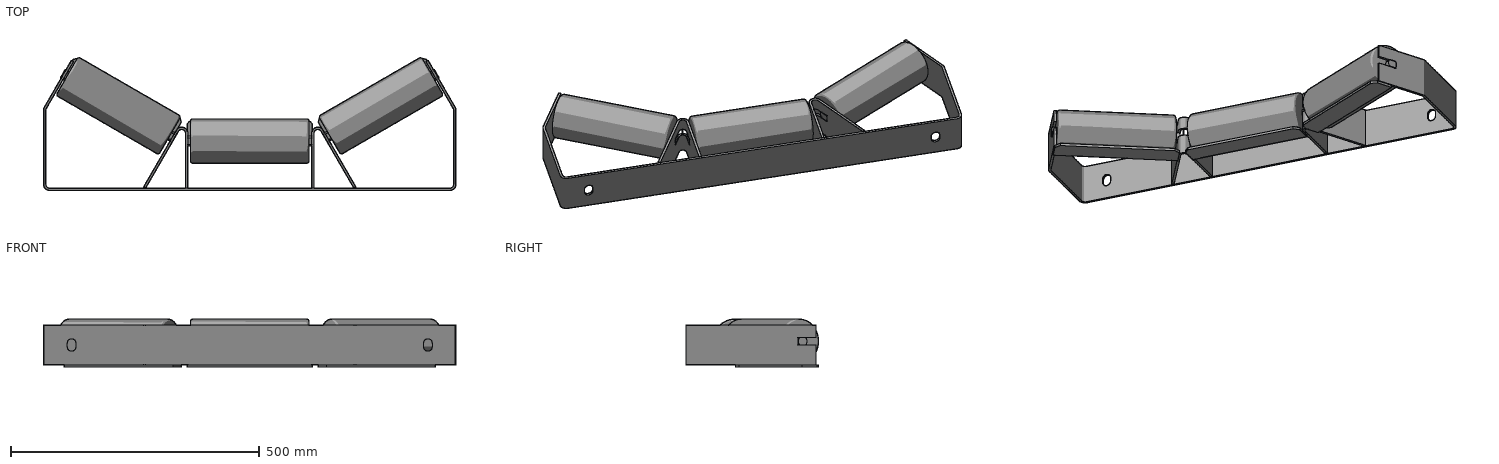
import cadquery as cq
import math

SHEET = 5.0
BEND = 12.5
STRIP_HEIGHT = 80.0
TILT = 30.0

FRAME_LENGTH = 830.0
FOLD_Y = 165.0
WING_LENGTH = 112.0
FOLD_BEND = 10.0
MOUNT_HOLE_X = 358.5
MOUNT_HOLE_WIDTH = 17.5
MOUNT_HOLE_HEIGHT = 25.0

BRACKET_X = 124.5
BRACKET_BEND_Y = 115.0

ROLLER_RADIUS = 45.0
ROLLER_LENGTH = 239.0
ROLLER_ROUNDING = 5.0
AXIS_Y = 100.0
AXIS_Z = 47.0
SIDE_ROLLER_OFFSET = 125.0
SHAFT_RADIUS = 10.0
SHAFT_FLATS = 15.0

GUARD_LENGTH = 252.0
GUARD_WIDTH = 45.0
GUARD_THICKNESS = 5.0
GUARD_CHAMFER = 10.0

SINE = math.sin(math.radians(TILT))
COSINE = math.cos(math.radians(TILT))
HALF_LENGTH = FRAME_LENGTH / 2
BEND_INNER = BEND - SHEET
BEND_X = BRACKET_X + BEND
SHAFT_LENGTH = 2 * (BRACKET_X + SHEET)

AXIS_DROP = BRACKET_BEND_Y - AXIS_Y
SIDE_X = BEND_X + (BEND + SIDE_ROLLER_OFFSET) * COSINE + AXIS_DROP * SINE
SIDE_Y = BRACKET_BEND_Y + (BEND + SIDE_ROLLER_OFFSET) * SINE - AXIS_DROP * COSINE

STATIONS = [(-SIDE_X, SIDE_Y, -TILT), (0, AXIS_Y, 0), (SIDE_X, SIDE_Y, TILT)]


def at_station(body, station):
    """Move a body built about the origin to a roller station."""
    x, y, angle = station
    return body.rotate((0, 0, 0), (0, 0, 1), angle).translate((x, y, 0))


def shaft_slots():
    """Flat-bottomed slots that let each shaft drop into the sheets at its ends."""
    depth = 2 * ROLLER_RADIUS
    slot = (
        cq.Workplane("XY")
        .box(SHAFT_LENGTH + 2 * SHEET, depth, SHAFT_FLATS)
        .translate((0, depth / 2 - SHAFT_RADIUS, AXIS_Z))
    )
    return [at_station(slot, station) for station in STATIONS]


def cut_shaft_slots(body):
    for slot in shaft_slots():
        body = body.cut(slot)
    return body


def frame_profile(inset):
    """Points of the folded strip from tip to tip, `inset` inside its outer faces."""
    side = HALF_LENGTH - inset
    fold_y = FOLD_Y - inset * math.tan(math.radians(TILT / 2))
    tip_x = HALF_LENGTH - WING_LENGTH * SINE - inset * COSINE
    tip_y = FOLD_Y + WING_LENGTH * COSINE - inset * SINE
    right_half = [(side, inset), (side, fold_y), (tip_x, tip_y)]
    left_half = [(-x, y) for x, y in reversed(right_half)]
    return left_half + right_half


def round_bend(body, point, radius):
    """Round the upright edge that passes through a profile point."""
    x, y = point
    edge = cq.selectors.NearestToPointSelector((x, y, STRIP_HEIGHT / 2))
    return body.edges("|Z").edges(edge).fillet(radius)


def make_frame():
    """One strip bent into a base, two side walls and two inward wings."""
    outer = frame_profile(0)
    inner = frame_profile(SHEET)
    body = cq.Workplane("XY").polyline(outer + inner[::-1]).close().extrude(STRIP_HEIGHT)
    for profile, inset in ((outer, 0), (inner, SHEET)):
        left_fold, left_corner, right_corner, right_fold = profile[1:-1]
        for corner in (left_corner, right_corner):
            body = round_bend(body, corner, BEND - inset)
        for fold in (left_fold, right_fold):
            body = round_bend(body, fold, FOLD_BEND - inset)
    mount_holes = (
        cq.Workplane("XZ")
        .pushPoints([(-MOUNT_HOLE_X, STRIP_HEIGHT / 2), (MOUNT_HOLE_X, STRIP_HEIGHT / 2)])
        .slot2D(MOUNT_HOLE_HEIGHT, MOUNT_HOLE_WIDTH, 90)
        .extrude(-SHEET)
    )
    return cut_shaft_slots(body.cut(mount_holes))


def make_right_bracket():
    """Folded strip with an upright leg and a leg leaning out by the roller tilt."""
    def around_bend(radius, angle):
        turn = math.radians(angle)
        return BEND_X + radius * math.cos(turn), BRACKET_BEND_Y + radius * math.sin(turn)

    tilted_normal = TILT
    middle = (tilted_normal + 180) / 2
    outer_end = around_bend(BEND, tilted_normal)
    inner_end = around_bend(BEND_INNER, tilted_normal)
    leg_length = (inner_end[1] - SHEET) / COSINE

    def down_leg(point):
        return point[0] + leg_length * SINE, point[1] - leg_length * COSINE

    body = (
        cq.Workplane("XY")
        .moveTo(BRACKET_X, SHEET)
        .lineTo(BRACKET_X, BRACKET_BEND_Y)
        .threePointArc(around_bend(BEND, middle), outer_end)
        .lineTo(*down_leg(outer_end))
        .lineTo(*down_leg(inner_end))
        .lineTo(*inner_end)
        .threePointArc(around_bend(BEND_INNER, middle), (BRACKET_X + SHEET, BRACKET_BEND_Y))
        .lineTo(BRACKET_X + SHEET, SHEET)
        .close()
        .extrude(STRIP_HEIGHT)
    )
    return cut_shaft_slots(body)


def make_roller(station):
    """Roller with rounded rims and a shaft whose ends fit the slots."""
    barrel = (
        cq.Workplane("YZ", origin=(-ROLLER_LENGTH / 2, 0, 0))
        .circle(ROLLER_RADIUS)
        .extrude(ROLLER_LENGTH)
        .faces("<X or >X")
        .edges()
        .fillet(ROLLER_ROUNDING)
    )
    shaft_start = (-SHAFT_LENGTH / 2, 0, 0)
    shaft = cq.Workplane("YZ", origin=shaft_start).circle(SHAFT_RADIUS).extrude(SHAFT_LENGTH)
    flat_length = 2 * SHEET
    for side in (-1, 1):
        flats = (
            cq.Workplane("XY")
            .box(flat_length, 2 * SHAFT_RADIUS, 2 * SHAFT_RADIUS)
            .cut(cq.Workplane("XY").box(flat_length, 2 * SHAFT_RADIUS, SHAFT_FLATS))
            .translate((side * (SHAFT_LENGTH - flat_length) / 2, 0, 0))
        )
        shaft = shaft.cut(flats)
    return at_station(barrel.union(shaft).translate((0, 0, AXIS_Z)), station)


def make_guard(station):
    """Flat plate under the far half of a roller, with its two far corners cut off."""
    body = (
        cq.Workplane("XY")
        .box(GUARD_LENGTH, GUARD_WIDTH, GUARD_THICKNESS, centered=(True, False, False))
        .edges("|Z and >Y")
        .chamfer(GUARD_CHAMFER)
        .translate((0, 0, -GUARD_THICKNESS))
    )
    return at_station(body, station)


frame = make_frame()
right_bracket = make_right_bracket()
brackets = [right_bracket.mirror("YZ"), right_bracket]
rollers = [make_roller(station) for station in STATIONS]
guards = [make_guard(station) for station in STATIONS]

result = cq.Compound.makeCompound([
    frame.val(),
    *[bracket.val() for bracket in brackets],
    *[roller.val() for roller in rollers],
    *[guard.val() for guard in guards],
])